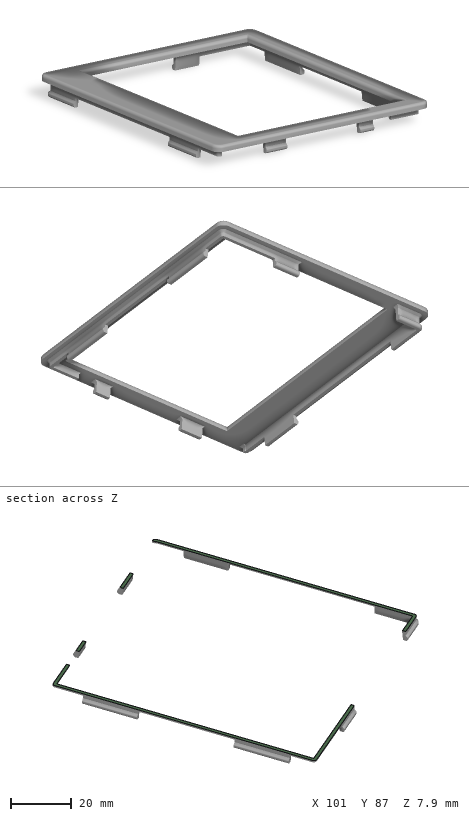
import cadquery as cq

PLATE_X = 101.0
PLATE_Y = 87.0
PLATE_THICKNESS = 2.3
PLATE_CORNER_RADIUS = 3.0
RIM_ROUND = 1.0
OVERALL_HEIGHT = 7.9

WINDOW_X = 87.8
WINDOW_TOP_Y = 36.9
WINDOW_BOTTOM_Y = -30.1
WINDOW_EDGE_ROUND = 1.1

WALL_INSET_X = 2.75
WALL_INSET_Y = 2.4
WALL_X = PLATE_X / 2 - WALL_INSET_X
WALL_Y = PLATE_Y / 2 - WALL_INSET_Y
WALL_CORNER_RADIUS = 1.1
WALL_BASE_THICKNESS = 1.5
WALL_DRAFT_DEGREES = 6.0
BASE_FLARE = 0.8

SKIRT_DEPTH = 2.4
SHORT_CLIP_DEPTH = 4.6
CLIP_DEPTH = OVERALL_HEIGHT - PLATE_THICKNESS

HOOK_REACH = 0.8
HOOK_HEIGHT = 2.2
HOOK_FOOT_ROUND = 0.78
HOOK_TIP_ROUND = 0.4

TOLERANCE = 0.01

LEFT_CLIP_Y = (9.6, 19.4)
LEFT_SKIRT_Y = (LEFT_CLIP_Y[0], WALL_Y)
FRONT_CLIP_X = (20.4, 36.4)
RIGHT_SKIRT_Y = (29.3, WALL_Y)
FULL_SKIRT_X = (-WALL_X, WALL_X)
BACK_CLIPS_X = ((-38.4, -18.5), (16.5, 36.4))
RIGHT_CLIPS_Y = ((-21.9, -13.5), (16.2, 21.9))
CORNER_CLIP_END_X = -32.7
CORNER_CLIP_END_Y = -31.6

LEFT_BAND = (-WALL_X - HOOK_REACH, -WALL_X + WALL_BASE_THICKNESS)
RIGHT_BAND = (WALL_X - WALL_BASE_THICKNESS, WALL_X + HOOK_REACH)
FRONT_BAND = (-WALL_Y - HOOK_REACH, -WALL_Y + WALL_BASE_THICKNESS)
BACK_BAND = (WALL_Y - WALL_BASE_THICKNESS, WALL_Y + HOOK_REACH)


def make_plate():
    """Flat bezel with rounded corners and rounded top edges, outside and around the window."""
    blank = cq.Workplane("XY").rect(PLATE_X, PLATE_Y).extrude(PLATE_THICKNESS)
    blank = blank.edges("|Z").fillet(PLATE_CORNER_RADIUS)
    blank = blank.faces(">Z").edges().fillet(RIM_ROUND)
    window = (
        cq.Workplane("XY")
        .center(0, (WINDOW_TOP_Y + WINDOW_BOTTOM_Y) / 2)
        .rect(WINDOW_X, WINDOW_TOP_Y - WINDOW_BOTTOM_Y)
        .extrude(PLATE_THICKNESS)
    )
    plate = blank.cut(window)
    window_edges = plate.faces(">Z").val().innerWires()[0].Edges()
    return plate.newObject(window_edges).fillet(WINDOW_EDGE_ROUND)


def wall_block(top_z, height, growth=0.0):
    """Solid rounded block on the wall line, grown outwards and hanging down from top_z."""
    return (
        cq.Workplane("XY")
        .workplane(offset=top_z - height)
        .rect(2 * (WALL_X + growth), 2 * (WALL_Y + growth))
        .extrude(height)
        .edges("|Z")
        .fillet(WALL_CORNER_RADIUS + growth)
    )


def make_hook(depth):
    """Block whose rim is the hook: sloped above, with a rounded tip and a rounded foot."""
    hook = wall_block(HOOK_HEIGHT - depth, HOOK_HEIGHT, HOOK_REACH)
    hook = hook.faces("<Z").edges().fillet(HOOK_FOOT_ROUND)
    hook = hook.faces(">Z").edges().chamfer(HOOK_REACH)
    tip_z = HOOK_HEIGHT - HOOK_REACH - depth
    tip_edges = cq.selectors.BoxSelector(
        (-PLATE_X, -PLATE_Y, tip_z - TOLERANCE),
        (PLATE_X, PLATE_Y, tip_z + TOLERANCE),
    )
    return hook.edges(tip_edges).fillet(HOOK_TIP_ROUND)


def make_wall_ring(depth, hooked):
    """Closed ring of wall with a flared outer base, a drafted inner face and an optional hook."""
    flare = wall_block(PLATE_THICKNESS, PLATE_THICKNESS + BASE_FLARE, BASE_FLARE)
    flare = flare.faces("<Z").edges().chamfer(BASE_FLARE)
    ring = wall_block(0, depth).union(flare)
    if hooked:
        ring = ring.union(make_hook(depth))
    cavity = (
        cq.Workplane("XY")
        .rect(2 * (WALL_X - WALL_BASE_THICKNESS), 2 * (WALL_Y - WALL_BASE_THICKNESS))
        .extrude(-depth, taper=-WALL_DRAFT_DEGREES)
    )
    return ring.cut(cavity)


def make_span(x_span, y_span, depth):
    """Block over one stretch of wall, flaring out at its top where it meets the plate."""
    size_x = x_span[1] - x_span[0]
    size_y = y_span[1] - y_span[0]
    centre = (sum(x_span) / 2, sum(y_span) / 2)
    straight = cq.Workplane("XY").center(*centre).rect(size_x, size_y).extrude(-depth)
    flare = (
        cq.Workplane("XY")
        .center(*centre)
        .rect(size_x + 2 * BASE_FLARE, size_y + 2 * BASE_FLARE)
        .workplane(offset=-BASE_FLARE)
        .rect(size_x, size_y)
        .loft()
    )
    return straight.union(flare)


def make_walls(depth, hooked, spans):
    """Stretches of one wall ring, one for each (x_span, y_span) pair."""
    ring = make_wall_ring(depth, hooked)
    return [ring.intersect(make_span(x_span, y_span, depth)) for x_span, y_span in spans]


skirt_spans = [
    (LEFT_BAND, LEFT_SKIRT_Y),
    (RIGHT_BAND, RIGHT_SKIRT_Y),
    (FULL_SKIRT_X, FRONT_BAND),
    (FULL_SKIRT_X, BACK_BAND),
]
clip_spans = [
    (LEFT_BAND, LEFT_CLIP_Y),
    (FRONT_CLIP_X, FRONT_BAND),
    (LEFT_BAND, (FRONT_BAND[0], CORNER_CLIP_END_Y)),
    ((LEFT_BAND[0], CORNER_CLIP_END_X), FRONT_BAND),
]
clip_spans += [(x_span, BACK_BAND) for x_span in BACK_CLIPS_X]
short_clip_spans = [(RIGHT_BAND, y_span) for y_span in RIGHT_CLIPS_Y]

walls = make_walls(SKIRT_DEPTH, False, skirt_spans)
walls += make_walls(CLIP_DEPTH, True, clip_spans)
walls += make_walls(SHORT_CLIP_DEPTH, True, short_clip_spans)

result = make_plate()
for wall in walls:
    result = result.union(wall)